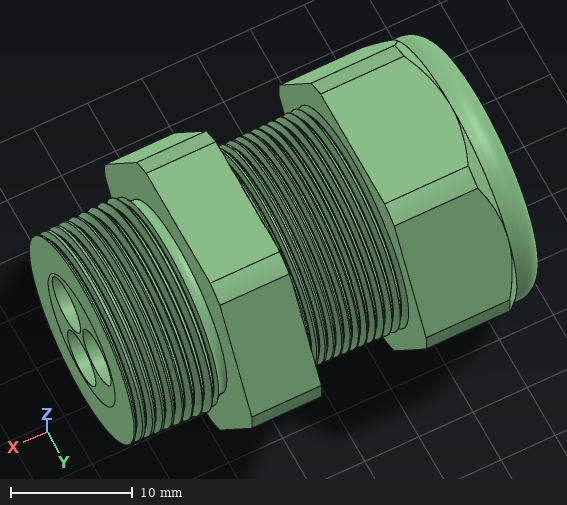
import cadquery as cq
import math


total_length = 36.83
cap_end = 11.82
flange_start = 21.47
flange_end = 27.9

across_flats = 23.85
across_corners = 26.48
flat_radius = across_flats / 2
corner_radius = across_corners / 2
sharp_corner_diameter = across_flats / math.cos(math.pi / 6)

dome_fillet = 2.1
dome_length = 2.8
corner_chamfer_end = dome_length + (corner_radius - flat_radius)

flank_slope = math.tan(math.radians(60))

cap_ridge_count = 12
cap_ridges_length = 9.05
cap_pitch = cap_ridges_length / cap_ridge_count
cap_root_radius = 9.45
cap_peak_radius = 10.05
cap_last_crest_radius = 9.87

end_ridge_count = 9
end_ridges_length = 8.0
end_pitch = end_ridges_length / end_ridge_count
end_root_radius = 9.0
end_peak_radius = 9.7
end_last_crest_radius = 9.43

neck_radius = 8.73
runout_radius = 9.4

insert_radius = 6.0
recess_radius = 5.75
recess_depth = 0.6
cable_hole_radius = 2.55
cable_circle_radius = 3.15
cable_hole_count = 3
first_hole_angle = -90.0


def cylinder(radius, start, end):
    """Solid cylinder on the X axis."""
    return cq.Workplane("YZ").workplane(offset=start).circle(radius).extrude(end - start)


def hexagon(start, end):
    """Hex prism on the X axis with its corners turned down to a cylinder."""
    prism = (
        cq.Workplane("YZ")
        .workplane(offset=start)
        .polygon(6, sharp_corner_diameter)
        .extrude(end - start)
    )
    return prism.intersect(cylinder(corner_radius, start, end))


def revolve_about_x(profile):
    """Turn a closed XY profile about the X axis."""
    return profile.close().revolve(360, (0, 0, 0), (1, 0, 0))


def ridge_points(first_crest, pitch, count, root, peak, last_crest):
    """Root, crest and root points of each ridge, with crests sinking evenly to last_crest."""
    half_base = (peak - root) / flank_slope
    points = []
    for index in range(count):
        centre = first_crest + index * pitch
        crest = peak - (peak - last_crest) * (index + 1) / count
        half_crest = (peak - crest) / flank_slope
        points += [
            (centre - half_base, root),
            (centre - half_crest, crest),
            (centre + half_crest, crest),
            (centre + half_base, root),
        ]
    return points


def make_cap():
    """Hex cap with chamfered corners and a rounded front edge."""
    fillet_middle = dome_fillet * (1 - math.sqrt(0.5))
    envelope = revolve_about_x(
        cq.Workplane("XY")
        .moveTo(0, 0)
        .lineTo(0, flat_radius - dome_fillet)
        .threePointArc((fillet_middle, flat_radius - fillet_middle), (dome_fillet, flat_radius))
        .lineTo(dome_length, flat_radius)
        .lineTo(corner_chamfer_end, corner_radius)
        .lineTo(cap_end, corner_radius)
        .lineTo(cap_end, 0)
    )
    dome = cylinder(flat_radius, 0, dome_length)
    return hexagon(dome_length, cap_end).union(dome).intersect(envelope)


def make_cap_thread():
    """Ridged barrel between the cap and the flange."""
    ridges = ridge_points(
        cap_end + cap_pitch, cap_pitch, cap_ridge_count,
        cap_root_radius, cap_peak_radius, cap_last_crest_radius,
    )
    half_base = (cap_peak_radius - cap_root_radius) / flank_slope
    return revolve_about_x(
        cq.Workplane("XY")
        .moveTo(cap_end, 0)
        .lineTo(cap_end, cap_peak_radius)
        .lineTo(cap_end + half_base, cap_root_radius)
        .polyline(ridges, includeCurrent=True)
        .lineTo(flange_start, cap_root_radius)
        .lineTo(flange_start, 0)
    )


def make_end_thread():
    """Ridged barrel behind the flange, with a curved run-out and half a ridge at its end."""
    runout_crest = total_length - end_ridges_length
    runout_end = runout_crest + (end_peak_radius - runout_radius) / flank_slope
    half_base = (end_peak_radius - end_root_radius) / flank_slope
    ridges = ridge_points(
        runout_crest + end_pitch, end_pitch, end_ridge_count,
        end_root_radius, end_peak_radius, end_last_crest_radius,
    )
    runout_rise = runout_radius - neck_radius
    runout_length = runout_end - flange_end
    arc_radius = (runout_length**2 + runout_rise**2) / (2 * runout_rise)
    last_corner = (total_length, end_last_crest_radius)
    ridges_to_end = ridges[:-2] + [last_corner]
    return revolve_about_x(
        cq.Workplane("XY")
        .moveTo(flange_end, 0)
        .lineTo(flange_end, neck_radius)
        .radiusArc((runout_end, runout_radius), -arc_radius)
        .lineTo(runout_crest + half_base, end_root_radius)
        .polyline(ridges_to_end, includeCurrent=True)
        .lineTo(total_length, 0)
    )


def make_housing():
    """Cap, flange and threads as one body with a straight bore."""
    body = make_cap().union(make_cap_thread())
    body = body.union(hexagon(flange_start, flange_end)).union(make_end_thread())
    return body.cut(cylinder(insert_radius, 0, total_length))


def make_insert():
    """Plug with a shallow front recess and three through holes for cables."""
    plug = cylinder(insert_radius, 0, total_length)
    plug = plug.cut(cylinder(recess_radius, 0, recess_depth))
    holes = (
        cq.Workplane("YZ")
        .polarArray(cable_circle_radius, first_hole_angle, 360, cable_hole_count)
        .circle(cable_hole_radius)
        .extrude(total_length)
    )
    return plug.cut(holes)


housing = make_housing()
insert = make_insert()
result = cq.Compound.makeCompound([housing.solids().val(), insert.solids().val()])